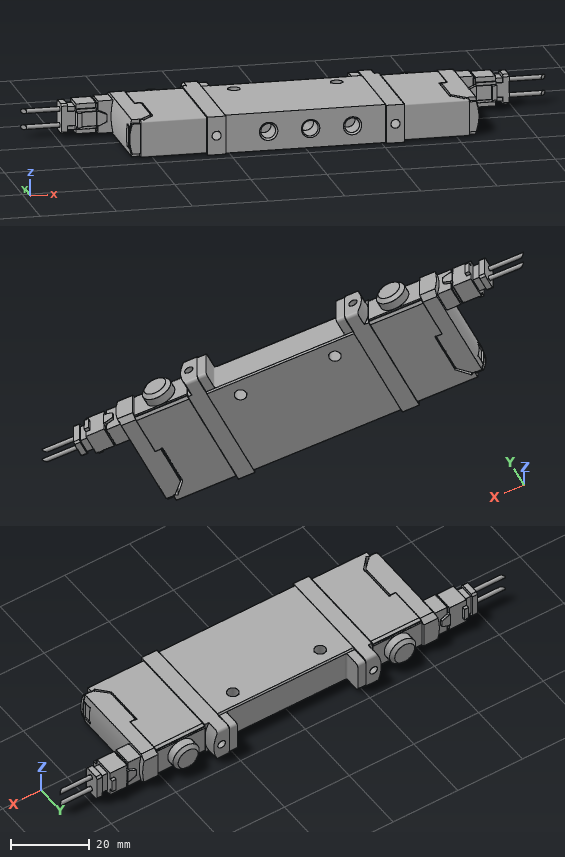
import cadquery as cq
import math


length = 137.8
height = 10.2
depth = 33.1

plate_inner_x = -21.1
body_front_y = 0.8
body_back_y = 28.0
body_back_chamfer = 0.4
lug_width = 2.5
lug_height = 9.4
lug_base_y = 26.9
lug_root_fillet = 0.5
back_edge_fillet = 1.0
mount_hole_diameter = 3.2
mount_hole_x = 13.5
mount_hole_y = 23.4
outer_port_diameter = 3.9
middle_port_diameter = 4.1
port_mouth_diameter = 4.8
port_depth = 5.5
port_middle_x = 1.4
port_pitch = 11.0
drill_tip_angle = 118.0
flat_angle = 180.0

plate_width = 4.8
plate_outer_x = plate_inner_x - plate_width
plate_hole_diameter = 2.3
plate_crown = 1.2
plate_crown_start_y = 29.0

coil_outer_x = -43.1
coil_height = 9.6
coil_back_y = 28.8
coil_front_fillet = 0.4
coil_back_chamfer_y = 0.8
coil_back_chamfer_z = 0.4
pad_height = 8.3
pad_back_y = 29.2

button_diameter = 8.1
button_x = -33.5
button_top_y = 32.5
button_chamfer = 1.0

cap_height = 9.9
cap_outer_x = -45.9
cap_crown = 0.7
cap_front_y = 2.8
cap_back_y = 30.0
cap_back_chamfer_y = 1.7
cap_back_chamfer_z = 1.1
cap_inner_x = -41.0
cap_hook_x = -39.4
cap_hook_back_y = 17.2
cap_hook_front_y = 6.0
cap_corner_x = -42.7
lip_front_y = 1.8
lip_height = 8.0
cap_pocket_front_y = 3.0
cap_pocket_back_y = 5.8
cap_pocket_height = 5.8
cap_pocket_depth = 0.3
hook_gap = 0.4
hook_gap_depth = 0.7
corner_gap = 0.7

socket_outer_x = -49.3
socket_height = 8.7
socket_front_y = 23.0
socket_back_y = 28.5
rib_front_y = 21.8
rib_back_y = 29.2
rib_tip_x = -47.3
rib_tip_height = 1.9

plug_outer_x = -55.1
plug_inner_x = -49.9
plug_height = 8.0
plug_front_y = 22.9
plug_back_y = 28.8
keel_height = 5.4
keel_front_y = 22.3
latch_height = 3.9
latch_inset = 0.8
latch_front_y = 21.9
latch_hook_length = 1.2
latch_hook_front_y = 21.2
latch_hook_back_y = 29.8

core_height = 7.2
core_front_y = 23.4
core_back_y = 28.1

neck_height = 6.2
neck_front_y = 23.8
neck_back_y = 27.7
key_height = 3.9
seal_outer_x = -58.8
seal_inner_x = -57.2
seal_height = 8.0
seal_front_y = 23.4
seal_back_y = 28.4
seal_corner = 0.5
wire_diameter = 1.3
wire_y = 25.6
wire_spacing = 4.3
wire_outer_x = -length / 2


def block(x_range, y_range, full_height):
    """Box over the given X and Y ranges, centred on Z = 0."""
    return (
        cq.Workplane("XY")
        .box(x_range[1] - x_range[0], y_range[1] - y_range[0], full_height, centered=(False, False, True))
        .translate((x_range[0], y_range[0], 0))
    )


def slab(points, full_height):
    """Extrude a closed XY outline symmetrically about Z = 0."""
    return cq.Workplane("XY").polyline(points).close().extrude(full_height / 2, both=True)


def crowned_block(outer_x, crown, inner_x, y_range, full_height):
    """Block whose outer X face bulges by the crown at mid-height."""
    half = full_height / 2
    return (
        cq.Workplane("XZ", origin=(0, y_range[0], 0))
        .moveTo(inner_x, -half)
        .lineTo(outer_x + crown, -half)
        .threePointArc((outer_x, 0), (outer_x + crown, half))
        .lineTo(inner_x, half)
        .close()
        .extrude(y_range[0] - y_range[1])
    )


def back_bevel(x_range, back_y, full_height, along_y, along_z):
    """Two wedges that bevel the upper and lower back edges of a block."""
    half = full_height / 2
    upper = (
        cq.Workplane("YZ", origin=(x_range[0], 0, 0))
        .polyline([(back_y - along_y, half), (back_y, half), (back_y, half - along_z)])
        .close()
        .extrude(x_range[1] - x_range[0])
    )
    return upper.union(upper.mirror("XY"))


def along_y(x, y_range, diameter):
    """Cylinder along Y through Z = 0."""
    return (
        cq.Workplane("XZ", origin=(x, y_range[0], 0))
        .circle(diameter / 2)
        .extrude(y_range[0] - y_range[1])
    )


def mirrored(part):
    return part.mirror("YZ")


def port(x, diameter, tip_angle):
    """Blind port bored from the front, with a countersunk mouth and a bottom of the given full angle."""
    radius = diameter / 2
    mouth_radius = port_mouth_diameter / 2
    bottom_y = body_front_y + port_depth
    tip_y = bottom_y + radius / math.tan(math.radians(tip_angle / 2))
    profile = [
        (0, body_front_y),
        (mouth_radius, body_front_y),
        (radius, body_front_y + mouth_radius - radius),
        (radius, bottom_y),
        (0, tip_y),
    ]
    return (
        cq.Workplane("XY")
        .polyline(profile)
        .close()
        .revolve(360, (0, 0, 0), (0, 1, 0))
        .translate((x, 0, 0))
    )


def make_lug():
    """Raised end of the centre body that lies against the left adapter plate."""
    lug_x = plate_inner_x + lug_width
    lug = block((plate_inner_x, lug_x), (lug_base_y, depth), lug_height)
    lug = lug.edges("|X and >Y").fillet(back_edge_fillet)
    root_x = (lug_x, lug_x + lug_root_fillet)
    root_y = (body_back_y, body_back_y + lug_root_fillet)
    root = block(root_x, root_y, lug_height)
    hollow = cq.Workplane("XY").circle(lug_root_fillet).extrude(height, both=True)
    return lug.union(root.cut(hollow.translate((root_x[1], root_y[1], 0))))


def make_centre_body():
    body = block((plate_inner_x, -plate_inner_x), (body_front_y, body_back_y), height)
    body = body.edges("|X and >Y").chamfer(body_back_chamfer)
    lug = make_lug()
    body = body.union(lug).union(mirrored(lug))
    for side in (-1, 1):
        hole = cq.Workplane("XY").circle(mount_hole_diameter / 2).extrude(height, both=True)
        body = body.cut(hole.translate((side * mount_hole_x, mount_hole_y, 0)))
        outer_port_x = port_middle_x + side * port_pitch
        body = body.cut(port(outer_port_x, outer_port_diameter, flat_angle))
    return body.cut(port(port_middle_x, middle_port_diameter, drill_tip_angle))


def make_adapter_plate():
    plate = block((plate_outer_x, plate_inner_x), (0, plate_crown_start_y), height)
    crowned_end = crowned_block(
        plate_outer_x, plate_crown, plate_inner_x, (plate_crown_start_y, depth), height
    )
    plate = plate.union(crowned_end.edges("|X and >Y").fillet(back_edge_fillet))
    centre_x = (plate_outer_x + plate_inner_x) / 2
    return plate.cut(along_y(centre_x, (0, depth), plate_hole_diameter))


def make_coil():
    coil_x = (coil_outer_x, plate_outer_x)
    coil = block(coil_x, (body_front_y, coil_back_y), coil_height)
    coil = coil.edges("|X and <Y").fillet(coil_front_fillet)
    coil = coil.cut(back_bevel(coil_x, coil_back_y, coil_height, coil_back_chamfer_y, coil_back_chamfer_z))
    coil = coil.union(block((cap_inner_x, plate_outer_x), (core_front_y, pad_back_y), pad_height))
    button = along_y(button_x, (core_front_y, button_top_y), button_diameter)
    return coil.union(button.faces(">Y").edges().chamfer(button_chamfer))


def make_cap():
    cap = crowned_block(cap_outer_x, cap_crown, cap_hook_x, (cap_front_y, cap_back_y), cap_height)
    outline = [
        (cap_outer_x, cap_front_y),
        (cap_corner_x, cap_front_y),
        (cap_hook_x, cap_hook_front_y),
        (cap_hook_x, cap_hook_back_y),
        (cap_inner_x, cap_hook_back_y),
        (cap_inner_x, cap_back_y),
        (cap_outer_x, cap_back_y),
    ]
    cap = cap.intersect(slab(outline, cap_height))
    bevel_x = (cap_outer_x, cap_inner_x)
    cap = cap.cut(back_bevel(bevel_x, cap_back_y, cap_height, cap_back_chamfer_y, cap_back_chamfer_z))
    lip = crowned_block(cap_outer_x, cap_crown, cap_corner_x, (lip_front_y, cap_front_y), lip_height)
    pocket = block(
        (cap_outer_x, cap_outer_x + cap_crown / 2 + cap_pocket_depth),
        (cap_pocket_front_y, cap_pocket_back_y),
        cap_pocket_height,
    )
    return cap.union(lip).cut(pocket)


def make_cap_gaps():
    """Open slot at the bevelled corner of the cap and a shallow groove beside its hook."""
    corner = slab(
        [
            (cap_corner_x, cap_front_y),
            (cap_hook_x, cap_hook_front_y),
            (cap_hook_x + hook_gap, cap_hook_front_y - hook_gap),
            (cap_corner_x + corner_gap, cap_front_y - hook_gap),
        ],
        height,
    )
    hook_x = (cap_hook_x, cap_hook_x + hook_gap)
    hook_y = (cap_hook_front_y - hook_gap, cap_hook_back_y)
    groove = block(hook_x, hook_y, height).cut(block(hook_x, hook_y, coil_height - 2 * hook_gap_depth))
    return corner.union(groove)


def make_socket():
    socket = block((socket_outer_x, cap_corner_x), (socket_front_y, socket_back_y), socket_height)
    rib = (
        cq.Workplane("XZ", origin=(0, rib_front_y, 0))
        .polyline(
            [
                (plug_inner_x, -latch_height / 2),
                (socket_outer_x, -latch_height / 2),
                (rib_tip_x, -rib_tip_height / 2),
                (rib_tip_x, rib_tip_height / 2),
                (socket_outer_x, latch_height / 2),
                (plug_inner_x, latch_height / 2),
            ]
        )
        .close()
        .extrude(rib_front_y - rib_back_y)
    )
    return socket.union(rib)


def make_plug():
    plug = block((plug_outer_x, plug_inner_x), (plug_front_y, plug_back_y), plug_height)
    plug = plug.union(block((plug_outer_x, plug_inner_x), (keel_front_y, plug_back_y), keel_height))
    latch_x = (plug_outer_x + latch_inset, plug_inner_x)
    plug = plug.union(block(latch_x, (latch_front_y, plug_back_y), latch_height))
    hook_x = (plug_outer_x, plug_outer_x + latch_hook_length)
    plug = plug.union(block(hook_x, (latch_hook_front_y, latch_hook_back_y), latch_height))
    core = block((plug_outer_x, cap_inner_x), (core_front_y, core_back_y), core_height)
    return plug.union(core)


def make_cable_seal():
    seal = block((seal_outer_x, seal_inner_x), (seal_front_y, seal_back_y), seal_height)
    seal = seal.edges("|X").chamfer(seal_corner)
    neck = block((seal_outer_x, plug_outer_x), (neck_front_y, neck_back_y), neck_height)
    key = block((seal_outer_x, plug_outer_x), (seal_front_y, neck_back_y), key_height)
    return seal.union(neck).union(key)


def make_wire(z):
    """Wire whose free end is cut at 45 degrees."""
    radius = wire_diameter / 2
    wire = (
        cq.Workplane("YZ", origin=(wire_outer_x, wire_y, z))
        .circle(radius)
        .extrude(seal_outer_x - wire_outer_x)
    )
    front_y = wire_y - radius
    end_cut = slab(
        [
            (wire_outer_x, wire_y + radius),
            (wire_outer_x, front_y),
            (wire_outer_x + wire_diameter, front_y),
        ],
        height,
    )
    return wire.cut(end_cut)


def make_pilot_valve():
    pilot = make_coil().union(make_cap()).cut(make_cap_gaps())
    for piece in (make_socket(), make_plug(), make_cable_seal()):
        pilot = pilot.union(piece)
    for side in (-1, 1):
        pilot = pilot.union(make_wire(side * wire_spacing / 2))
    return pilot


centre_body = make_centre_body()
adapter_plate = make_adapter_plate()
pilot_valve = make_pilot_valve()

bodies = [centre_body.val()]
for part in (adapter_plate, pilot_valve):
    bodies.append(part.val())
    bodies.append(mirrored(part).val())

result = cq.Compound.makeCompound(bodies)